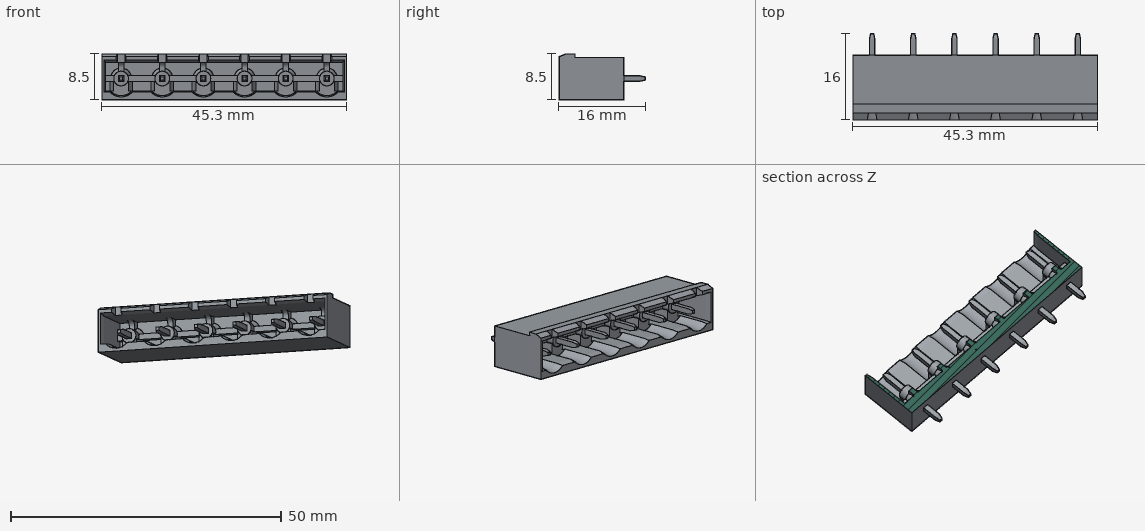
import cadquery as cq
import math

length = 45.3
depth = 12.0
height = 7.85
ridge_height = 8.5
ridge_depth = 3.0
lip_height = 7.97

lead_in = 1.25
mouth_side_wall = 0.45
side_wall = 0.7
mouth_floor = 1.5
floor = 1.68
mouth_ceiling = 7.35
ceiling = 6.95
cavity_depth = 9.5

pin_count = 6
pitch = 7.6
first_pin_x = 3.6
pin_z = 3.95
pin_width = 1.05
tip_width = 0.6
tip_length = 1.0
pin_front = 1.35
pin_rear = 16.0
pin_xs = [first_pin_x + i * pitch for i in range(pin_count)]

support_height = 1.35
support_front = cavity_depth - support_height
pedestal_height = 2.7
pedestal_front = cavity_depth - pedestal_height
collar_radius = 1.35
collar_height = 0.23
cone_base_radius = 1.95
rib_width = 1.05
rib_fillet = 1.05
level_rib_bottom = pin_z - rib_width / 2
level_rib_top = pin_z + rib_width / 2
pedestal_half_width = 1.4
pedestal_base_half_width = 2.1

scoop_z = 3.4
scoop_radius = 2.65
scoop_mouth_radius = 2.85
notch_half_width = 0.7
notch_mouth_half_width = 0.9


def block(x_range, y_range, z_range):
    """Box between the given limits."""
    size = [end - start for start, end in (x_range, y_range, z_range)]
    corner = (x_range[0], y_range[0], z_range[0])
    return cq.Workplane("XY").box(*size, centered=False).translate(corner)


def rear_facing_plane(x, y, z):
    """Upright plane at (x, y, z) whose normal points to the rear."""
    return cq.Plane(origin=(x, y, z), xDir=(1, 0, 0), normal=(0, 1, 0))


def frustum(x, z, y_start, y_end, radius_start, radius_end):
    """Round taper along Y."""
    solid = cq.Solid.makeCone(
        radius_start, radius_end, y_end - y_start, cq.Vector(x, y_start, z), cq.Vector(0, 1, 0)
    )
    return cq.Workplane(obj=solid)


def cylinder(x, z, y_start, y_end, radius):
    """Straight round bar along Y."""
    return cq.Workplane(rear_facing_plane(x, y_start, z)).circle(radius).extrude(y_end - y_start)


def housing():
    """Outer block with the bevelled latch ridge above the mouth."""
    profile = [
        (0, 0),
        (depth, 0),
        (depth, height),
        (ridge_depth, height),
        (ridge_depth, ridge_height),
        (lead_in, ridge_height),
        (0, lip_height),
    ]
    return cq.Workplane("YZ").polyline(profile).close().extrude(length)


def cavity():
    """Rectangular plug space and its flared mouth."""
    inner_size = (length - 2 * side_wall, ceiling - floor)
    mouth_size = (length - 2 * mouth_side_wall, mouth_ceiling - mouth_floor)
    inner_z = (floor + ceiling) / 2
    mouth_z = (mouth_floor + mouth_ceiling) / 2
    flare = (
        cq.Workplane(rear_facing_plane(length / 2, 0, mouth_z))
        .rect(*mouth_size)
        .workplane(offset=lead_in)
        .center(0, mouth_z - inner_z)
        .rect(*inner_size)
        .loft(ruled=True)
    )
    room = block((side_wall, length - side_wall), (lead_in, cavity_depth), (floor, ceiling))
    return flare.union(room)


def scoop(x):
    """Round trough in the cavity floor, flared at the mouth."""
    trough = frustum(x, scoop_z, 0, lead_in, scoop_mouth_radius, scoop_radius).union(
        cylinder(x, scoop_z, lead_in, pedestal_front, scoop_radius)
    )
    lower_half = block((0, length), (0, pedestal_front), (0, scoop_z))
    return trough.intersect(lower_half)


def notch(x):
    """Opening through the top lip, wider at the mouth."""
    outline = [
        (x - notch_mouth_half_width, 0),
        (x + notch_mouth_half_width, 0),
        (x + notch_half_width, lead_in),
        (x - notch_half_width, lead_in),
    ]
    prism = cq.Workplane("XY").polyline(outline).close().extrude(ridge_height - ceiling)
    return prism.translate((0, 0, ceiling))


def upright_rib(x):
    """Rib above the collar, curving forward into the ceiling."""
    arc_shift = rib_fillet * math.sqrt(0.5)
    arc_y = support_front - rib_fillet
    arc_z = ceiling - rib_fillet
    profile = (
        cq.Workplane("YZ")
        .moveTo(cavity_depth, pin_z)
        .lineTo(support_front, pin_z)
        .lineTo(support_front, arc_z)
        .threePointArc((arc_y + arc_shift, arc_z + arc_shift), (arc_y, ceiling))
        .lineTo(cavity_depth, ceiling)
        .close()
    )
    return profile.extrude(rib_width).translate((x - rib_width / 2, 0, 0))


def pedestal(x):
    """Block under the level rib whose sides sweep outward to the rear wall."""
    spread = pedestal_base_half_width - pedestal_half_width
    sweep_radius = (spread**2 + pedestal_height**2) / (2 * spread)
    half_angle = math.asin(pedestal_height / sweep_radius) / 2
    mid_half_width = pedestal_half_width + sweep_radius * (1 - math.cos(half_angle))
    mid_y = pedestal_front + sweep_radius * math.sin(half_angle)
    outline = (
        cq.Workplane("XY")
        .moveTo(x - pedestal_half_width, pedestal_front)
        .lineTo(x + pedestal_half_width, pedestal_front)
        .threePointArc((x + mid_half_width, mid_y), (x + pedestal_base_half_width, cavity_depth))
        .lineTo(x - pedestal_base_half_width, cavity_depth)
        .threePointArc((x - mid_half_width, mid_y), (x - pedestal_half_width, pedestal_front))
        .close()
    )
    return outline.extrude(level_rib_bottom - floor).translate((0, 0, floor))


def pin_support(x):
    """Everything on the cavity's rear wall that surrounds one pin."""
    cone = frustum(x, pin_z, support_front, cavity_depth, collar_radius, cone_base_radius)
    collar_front = pedestal_front - collar_height
    collar = cylinder(x, pin_z, collar_front, support_front, collar_radius)
    return cone.union(collar).union(upright_rib(x)).union(pedestal(x))


def pin_tip(x, y_base, y_end):
    """Four-sided taper at one end of a pin."""
    return (
        cq.Workplane(rear_facing_plane(x, y_base, pin_z))
        .rect(pin_width, pin_width)
        .workplane(offset=y_end - y_base)
        .rect(tip_width, tip_width)
        .loft(ruled=True)
    )


def pin(x):
    """Square pin tapered at both ends."""
    half = pin_width / 2
    shank_start = pin_front + tip_length
    shank_end = pin_rear - tip_length
    shank = block((x - half, x + half), (shank_start, shank_end), (pin_z - half, pin_z + half))
    return shank.union(pin_tip(x, shank_start, pin_front)).union(pin_tip(x, shank_end, pin_rear))


result = housing().cut(cavity())
for pin_x in pin_xs:
    result = result.cut(scoop(pin_x)).cut(notch(pin_x))

result = result.union(
    block(
        (side_wall, length - side_wall),
        (support_front, cavity_depth),
        (level_rib_bottom, level_rib_top),
    )
)
for pin_x in pin_xs:
    result = result.union(pin_support(pin_x)).union(pin(pin_x))